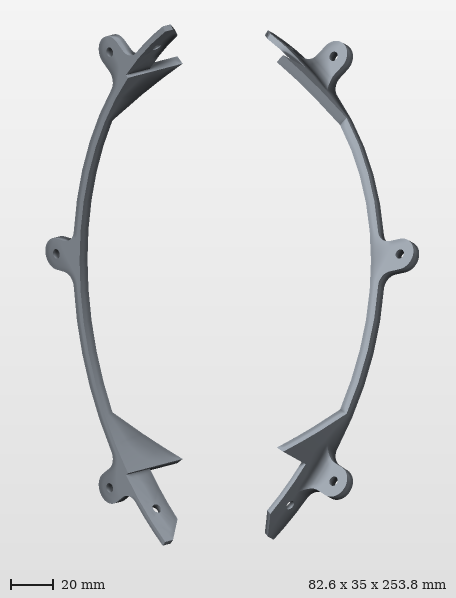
import cadquery as cq
import math

half_span = 126.9
outer_radius = 161.0
band_inner_radius = 156.5
arm_inner_radius = 158.3
base_thickness = 5.0
tip_angle = math.degrees(math.asin(half_span / outer_radius))

lug_angle = 38.1
lug_centre_radius = 172.5
lug_radius = 7.5
lug_flare_radius = 6.5
hole_diameter = 4.5
root_fillet_radius = 3.5

fin_height = 35.0
fin_length = 30.0
arm_height = 15.2
tip_bevel = arm_height - base_thickness
arm_hole_y = 7.4
arm_hole_z = 114.7

cut_margin = 12.7


def polar(radius, angle):
    """Point in the XZ plane, with the angle measured from -X towards +Z."""
    turn = math.radians(angle)
    return (-radius * math.cos(turn), radius * math.sin(turn))


def sector(inner, outer, start, end, height):
    """Curved bar between two radii and two angles, standing on Y = 0."""
    middle = (start + end) / 2
    return (
        cq.Workplane("XZ")
        .moveTo(*polar(inner, start))
        .threePointArc(polar(inner, middle), polar(inner, end))
        .lineTo(*polar(outer, end))
        .threePointArc(polar(outer, middle), polar(outer, start))
        .close()
        .extrude(-height)
    )


def turned(body, angle):
    """Turn a body built on the -X axis to the given angle along the band."""
    return body.rotate((0, 0, 0), (0, 1, 0), angle)


def lug_blank(height):
    """Round-ended lug on the -X axis whose sides flare into the outer face of the band."""
    flare_z = lug_radius + lug_flare_radius
    flare_x = -math.sqrt((outer_radius + lug_flare_radius) ** 2 - flare_z**2)
    touch_scale = outer_radius / (outer_radius + lug_flare_radius)
    touch = (flare_x * touch_scale, flare_z * touch_scale)
    start_turn = -math.pi / 2
    end_turn = math.atan2(-flare_z, -flare_x)
    mid_turn = (start_turn + end_turn) / 2
    mid_x = flare_x + lug_flare_radius * math.cos(mid_turn)
    mid_z = flare_z + lug_flare_radius * math.sin(mid_turn)
    root_x = -(arm_inner_radius + outer_radius) / 2
    return (
        cq.Workplane("XZ")
        .moveTo(root_x, touch[1])
        .lineTo(*touch)
        .threePointArc((mid_x, mid_z), (flare_x, lug_radius))
        .lineTo(-lug_centre_radius, lug_radius)
        .threePointArc((-lug_centre_radius - lug_radius, 0), (-lug_centre_radius, -lug_radius))
        .lineTo(flare_x, -lug_radius)
        .threePointArc((mid_x, -mid_z), (touch[0], -touch[1]))
        .lineTo(root_x, -touch[1])
        .close()
        .extrude(-height)
    )


def root_fillet():
    """Concave blend from the back face of an end lug up onto the wall."""
    top_y = base_thickness + root_fillet_radius
    fillet_x = outer_radius + root_fillet_radius
    arc_offset = root_fillet_radius * (1 - math.sqrt(0.5))
    ring = (
        cq.Workplane("XY")
        .moveTo(-arm_inner_radius, base_thickness)
        .lineTo(-fillet_x, base_thickness)
        .threePointArc(
            (-outer_radius - arc_offset, base_thickness + arc_offset),
            (-outer_radius, top_y),
        )
        .lineTo(-arm_inner_radius, top_y)
        .close()
        .revolve(360, (0, 0, 0), (0, 1, 0))
    )
    return lug_blank(top_y).intersect(ring)


def prism(points):
    """Prism along X over the -X half, from an outline of (y, z) points."""
    return cq.Workplane("YZ").polyline(points).close().extrude(-2 * outer_radius)


def arm_hole():
    """Radial drill through the arm."""
    hole_angle = math.degrees(math.asin(arm_hole_z / outer_radius))
    drill = (
        cq.Workplane("YZ", origin=(-outer_radius - cut_margin, 0, 0))
        .center(arm_hole_y, 0)
        .circle(hole_diameter / 2)
        .extrude(2 * cut_margin)
    )
    return turned(drill, hole_angle)


def upper_wall():
    """Upper half of the band, trimmed from full height to base, sloped fin and bevelled arm."""
    wall = sector(band_inner_radius, outer_radius, 0, lug_angle, fin_height)
    wall = wall.union(sector(arm_inner_radius, outer_radius, lug_angle, tip_angle, fin_height))
    above = fin_height + cut_margin
    above_fin = prism([
        (base_thickness, -fin_length),
        (fin_height, 0),
        (above, 0),
        (above, -outer_radius),
        (base_thickness, -outer_radius),
    ])
    above_arm = prism([
        (arm_height, 0),
        (above, 0),
        (above, half_span),
        (arm_height, half_span),
    ])
    bevel_corner = prism([
        (base_thickness, 0),
        (arm_height, -tip_bevel),
        (arm_height + cut_margin, -tip_bevel),
        (arm_height + cut_margin, cut_margin),
        (base_thickness, cut_margin),
    ])
    wall = wall.cut(turned(above_fin, lug_angle)).cut(turned(above_arm, lug_angle))
    return wall.cut(turned(bevel_corner, tip_angle)).cut(arm_hole())


lug_hole = (
    cq.Workplane("XZ")
    .center(-lug_centre_radius, 0)
    .circle(hole_diameter / 2)
    .extrude(-base_thickness)
)
lug = lug_blank(base_thickness).cut(lug_hole)
end_lug = turned(lug.union(root_fillet()), lug_angle)

upper_half = upper_wall().union(end_lug)
result = upper_half.union(upper_half.mirror("XY")).union(lug)